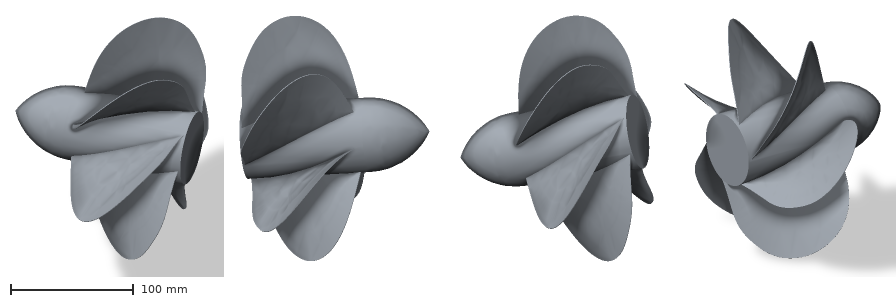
import cadquery as cq
import math

LENGTH = 151.8
HUB_RADIUS = 30.4
NOSE_LENGTH = 50.6

BLADE_COUNT = 6
BLADE_THICKNESS = 0.6
BLADE_NORMAL = (-0.75, -0.2, 1.0)
TIP_RADIUS = 101.2
TIP_X = 110.1
ROOT_ANGLE = 22.8
ROOT_TWIST = 0.8397
OUTER_ANGLE = -1.6
OUTER_TWIST = 0.5927
SURFACE_START_X = 50.6
SURFACE_END_X = 158.0
CURVE_STEPS = 8
INNER_OVERLAP = -0.07
OUTER_OVERLAP = 1.1

BLADE_OUTLINE = [
    (57.7, 28.1),
    (65.8, 54.7),
    (76.3, 77.0),
    (92.7, 95.0),
    (TIP_X, TIP_RADIUS),
    (124.7, 96.4),
    (137.0, 81.0),
    (145.2, 60.7),
    (147.2, 41.5),
    (150.0, 16.6),
]
LEADING_FOOT = (55.7, 20.2)
TRAILING_FOOT = (150.8, 10.1)


def make_hub():
    nose_radius = (NOSE_LENGTH**2 + HUB_RADIUS**2) / (2 * HUB_RADIUS)
    half_angle = math.asin(NOSE_LENGTH / nose_radius) / 2
    arc_middle = (
        NOSE_LENGTH - nose_radius * math.sin(half_angle),
        HUB_RADIUS - nose_radius * (1 - math.cos(half_angle)),
    )
    return (
        cq.Workplane("XY")
        .moveTo(0, 0)
        .threePointArc(arc_middle, (NOSE_LENGTH, HUB_RADIUS))
        .lineTo(LENGTH, HUB_RADIUS)
        .lineTo(LENGTH, 0)
        .close()
        .revolve(360, (0, 0, 0), (1, 0, 0))
    )


def helix_point(x, radius, angle_at_tip, twist):
    """Point of a helix round the X axis; the angle is measured from -Y toward +Z."""
    angle = math.radians(angle_at_tip + twist * (x - TIP_X))
    return cq.Vector(x, -radius * math.cos(angle), radius * math.sin(angle))


def surface_curve(share):
    """Curve at a given share of the way along straight lines from root helix to outer helix."""
    points = []
    for step in range(CURVE_STEPS + 1):
        x = SURFACE_START_X + (SURFACE_END_X - SURFACE_START_X) * step / CURVE_STEPS
        root = helix_point(x, HUB_RADIUS, ROOT_ANGLE, ROOT_TWIST)
        outer = helix_point(x, TIP_RADIUS, OUTER_ANGLE, OUTER_TWIST)
        points.append(root + (outer - root) * share)
    return cq.Edge.makeSpline(points)


def make_blade():
    surface = cq.Face.makeRuledSurface(surface_curve(INNER_OVERLAP), surface_curve(OUTER_OVERLAP))
    edge = [(x, -distance) for x, distance in BLADE_OUTLINE]
    trim = (
        cq.Workplane("XY")
        .moveTo(LEADING_FOOT[0], -LEADING_FOOT[1])
        .lineTo(*edge[0])
        .spline(edge[1:], includeCurrent=True)
        .lineTo(TRAILING_FOOT[0], -TRAILING_FOOT[1])
        .close()
        .extrude(TIP_RADIUS, both=True)
    )
    middle_face = surface.intersect(trim.val()).Faces()[0]
    thickness = cq.Vector(*BLADE_NORMAL).normalized() * BLADE_THICKNESS
    solid = cq.Solid.extrudeLinear(middle_face, thickness)
    return cq.Workplane(solid.translate(thickness * -0.5))


blade = make_blade()
blades = []
for index in range(BLADE_COUNT):
    turn = 360 / BLADE_COUNT * index
    blades.append(blade.rotate((0, 0, 0), (1, 0, 0), turn).val())
result = cq.Workplane(make_hub().val().fuse(*blades).Solids()[0])